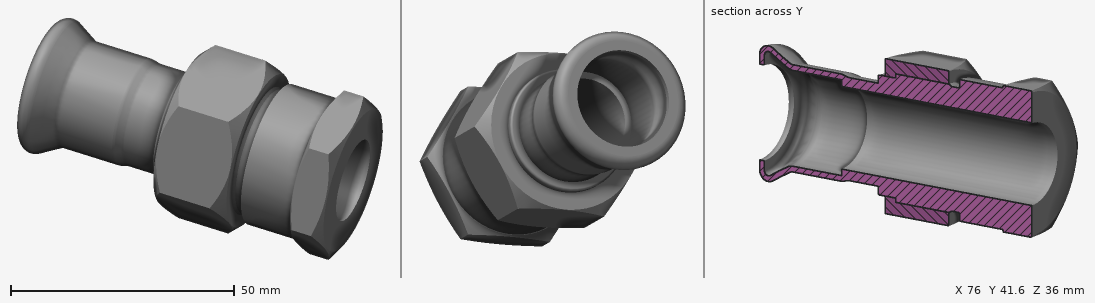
import cadquery as cq
import math

total_length = 76.0
barrel_end = 22.95
collar_start = 33.05
nut_start = 35.0
nut_end = 52.9
body_start = 55.8
end_hex_start = 67.8

wall = 1.45
barrel_radius = 25.0 / 2
bead_radius = 2.5
bead_center_radius = 13.3
bead_slope = math.radians(30)
flare_blend = 1.7
socket_radius = barrel_radius - wall

neck_radius = 24.0 / 2
taper_slope = math.radians(14)
taper_blend = 2.65
bore_radius = 19.1 / 2
collar_radius = 28.0 / 2
collar_fillet = 0.5
thread_radius = 15.0
groove_radius = 29.0 / 2
groove_chamfer_length = 0.7
groove_fillet = 0.45
body_radius = 33.0 / 2

end_hex_flats = 34.05
end_hex_face_radius = 16.65
end_hex_slope = math.radians(30)
nut_flats = 36.0
nut_face_radius = 17.9
nut_slope = math.radians(45)
nut_lip = 3.0
seat = nut_start + nut_lip


def point_on(center, radius, angle):
    """Point at an angle (from +X) on a circle in the axial plane."""
    return (center[0] + radius * math.cos(angle), center[1] + radius * math.sin(angle))


def revolve(sketch):
    """Revolve a closed axial half-profile about the X axis."""
    return sketch.close().revolve(360, (0, 0, 0), (1, 0, 0))


def add_bead(sketch, section_radius, tube_radius, blend_radius):
    """Draw the bead arc, its cone and the concave blend down to the tube."""
    center = (bead_radius, bead_center_radius)
    crest_angle = math.radians(120)
    cone_angle = math.pi / 2 - bead_slope
    cone_start = point_on(center, section_radius, cone_angle)
    cone_foot_x = cone_start[0] + (cone_start[1] - tube_radius) / math.tan(bead_slope)
    blend_center = (cone_foot_x + blend_radius * math.tan(bead_slope / 2), tube_radius + blend_radius)
    blend_start = point_on(blend_center, blend_radius, -math.pi / 2 - bead_slope)
    blend_middle = point_on(blend_center, blend_radius, -math.pi / 2 - bead_slope / 2)
    return (
        sketch.lineTo(center[0] - section_radius, center[1])
        .threePointArc(point_on(center, section_radius, crest_angle), cone_start)
        .lineTo(*blend_start)
        .threePointArc(blend_middle, (blend_center[0], tube_radius))
    )


def add_neck_taper(sketch):
    """Draw the blended cone from the barrel down to the neck."""
    tangent = taper_blend * math.tan(taper_slope / 2)
    taper_length = (barrel_radius - neck_radius) / math.tan(taper_slope)
    top_center = (barrel_end - tangent, barrel_radius - taper_blend)
    foot_center = (barrel_end + taper_length + tangent, neck_radius + taper_blend)
    up = math.pi / 2
    return (
        sketch.lineTo(top_center[0], barrel_radius)
        .threePointArc(
            point_on(top_center, taper_blend, up - taper_slope / 2),
            point_on(top_center, taper_blend, up - taper_slope),
        )
        .lineTo(*point_on(foot_center, taper_blend, -up - taper_slope))
        .threePointArc(
            point_on(foot_center, taper_blend, -up - taper_slope / 2),
            (foot_center[0], neck_radius),
        )
    )


def add_collar_and_thread(sketch):
    """Draw the collar, threaded length, relief groove and round body."""
    diagonal = math.radians(45)
    fillet_center = (collar_start + collar_fillet, collar_radius - collar_fillet)
    relief_center = (body_start - groove_fillet, groove_radius + groove_fillet)
    return (
        sketch.lineTo(collar_start, neck_radius)
        .lineTo(collar_start, fillet_center[1])
        .threePointArc(
            point_on(fillet_center, collar_fillet, math.pi - diagonal),
            (fillet_center[0], collar_radius),
        )
        .lineTo(seat, collar_radius)
        .lineTo(seat, thread_radius)
        .lineTo(nut_end, thread_radius)
        .lineTo(nut_end + groove_chamfer_length, groove_radius)
        .lineTo(relief_center[0], groove_radius)
        .threePointArc(
            point_on(relief_center, groove_fillet, -diagonal),
            (body_start, relief_center[1]),
        )
        .lineTo(body_start, body_radius)
        .lineTo(end_hex_start, body_radius)
        .lineTo(end_hex_start, 0)
    )


def make_chamfered_hex(start, end, flats, face_radius, slope):
    """Hexagonal prism whose corners are turned conically at both ends."""
    corner_radius = flats / math.sqrt(3)
    chamfer_length = (corner_radius - face_radius) * math.tan(slope)
    prism = (
        cq.Workplane("YZ", origin=(start, 0, 0))
        .polygon(6, 2 * corner_radius)
        .extrude(end - start)
    )
    turned = revolve(
        cq.Workplane("XY")
        .moveTo(start, 0)
        .lineTo(start, face_radius)
        .lineTo(start + chamfer_length, corner_radius)
        .lineTo(end - chamfer_length, corner_radius)
        .lineTo(end, face_radius)
        .lineTo(end, 0)
    )
    return prism.intersect(turned)


def make_cylinder(start, end, radius):
    """Solid cylinder along X."""
    return cq.Workplane("YZ", origin=(start, 0, 0)).circle(radius).extrude(end - start)


def make_fitting():
    """Press tail, collar, threaded end and end hexagon in one piece."""
    outline = cq.Workplane("XY").moveTo(0, 0)
    outline = add_bead(outline, bead_radius, barrel_radius, flare_blend)
    outline = add_neck_taper(outline)
    turned = revolve(add_collar_and_thread(outline))
    end_hex = make_chamfered_hex(
        end_hex_start, total_length, end_hex_flats, end_hex_face_radius, end_hex_slope
    )
    return turned.union(end_hex).cut(make_socket()).cut(make_cylinder(0, total_length, bore_radius))


def make_socket():
    """Space inside the press tail: mouth, seal groove in the bead, and tube bore."""
    space = cq.Workplane("XY").lineTo(0, socket_radius).lineTo(wall, socket_radius)
    space = add_bead(space, bead_radius - wall, socket_radius, flare_blend + wall)
    return revolve(space.lineTo(barrel_end, socket_radius).lineTo(barrel_end, 0))


def make_union_nut():
    """Hexagonal nut that fits around the collar and the thread."""
    blank = make_chamfered_hex(nut_start, nut_end, nut_flats, nut_face_radius, nut_slope)
    return blank.cut(make_cylinder(nut_start, seat, collar_radius)).cut(
        make_cylinder(seat, nut_end, thread_radius)
    )


fitting = make_fitting()
union_nut = make_union_nut()
result = cq.Compound.makeCompound([fitting.solids().val(), union_nut.solids().val()])